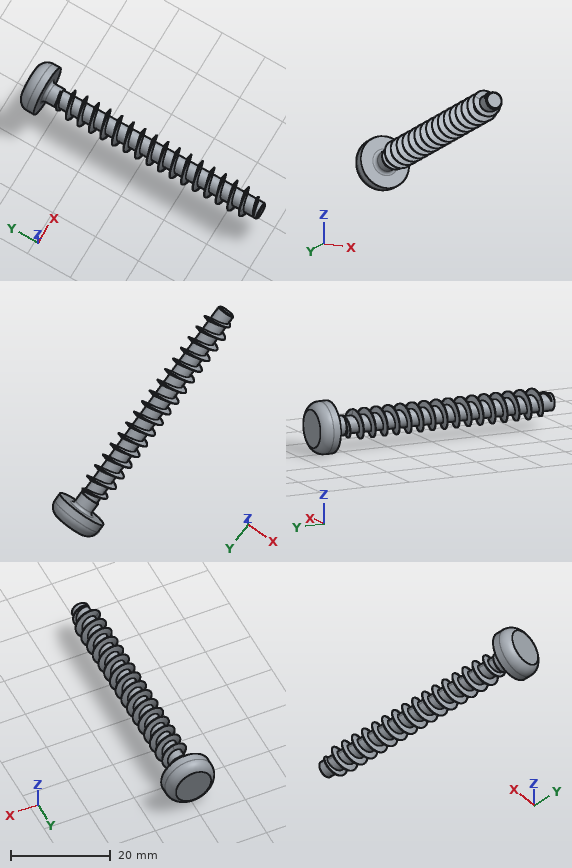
import cadquery as cq
import math

total_length = 53.8

head_radius = 10.8 / 2
head_height = 3.85
shoulder_height = 2.2
shoulder_arc_radius = 2.35

neck_radius = 4.15 / 2
neck_end = 6.8
neck_fillet = 0.7
core_radius = 3.6 / 2
tip_radius = 1.55
tip_chamfer_length = 0.2

thread_pitch = 2.7
thread_radius = 3.05
thread_root_radius = 1.6
thread_root_width = 0.85
thread_crest_width = 0.15
thread_phase = 8.7
thread_start = 6.45
thread_full_from = 9.35
thread_full_to = 50.2
thread_end = 53.15
start_crest_radius = 2.05
end_crest_radius = 1.7
points_per_turn = 16


def make_body():
    """Revolve the head, neck and core as one profile (radius, height)."""
    shoulder_center = head_radius - shoulder_arc_radius
    top_radius = shoulder_center + math.sqrt(shoulder_arc_radius**2 - shoulder_height**2)
    mid_angle = math.asin(shoulder_height / shoulder_arc_radius) / 2
    shoulder_mid = (
        shoulder_center + shoulder_arc_radius * math.cos(mid_angle),
        shoulder_height - shoulder_arc_radius * math.sin(mid_angle),
    )
    fillet_mid = neck_fillet * (1 - math.sqrt(0.5))
    profile = (
        cq.Workplane("XZ")
        .lineTo(top_radius, 0)
        .threePointArc(shoulder_mid, (head_radius, shoulder_height))
        .lineTo(head_radius, head_height)
        .lineTo(neck_radius + neck_fillet, head_height)
        .threePointArc(
            (neck_radius + fillet_mid, head_height + fillet_mid),
            (neck_radius, head_height + neck_fillet),
        )
        .lineTo(neck_radius, neck_end)
        .lineTo(core_radius, neck_end)
        .lineTo(core_radius, total_length - tip_chamfer_length)
        .lineTo(tip_radius, total_length)
        .lineTo(0, total_length)
        .close()
    )
    return profile.revolve(360, (0, 0, 0), (0, 1, 0)).val()


def helix_point(radius, center_height, offset):
    """Point on a helix line shifted axially from the ridge centre."""
    angle = 2 * math.pi * (center_height - thread_phase) / thread_pitch
    return cq.Vector(radius * math.cos(angle), radius * math.sin(angle), center_height + offset)


def ridge_edge(z_start, z_end, radius_start, radius_end, offset):
    """Helical edge whose radius changes evenly between two heights."""
    steps = math.ceil((z_end - z_start) / thread_pitch * points_per_turn)
    points = []
    for i in range(steps + 1):
        share = i / steps
        radius = radius_start + (radius_end - radius_start) * share
        points.append(helix_point(radius, z_start + (z_end - z_start) * share, offset))
    return cq.Edge.makeSpline(points)


def make_ridge(z_start, z_end, crest_start, crest_end):
    """Solid stretch of thread ridge bounded by four ruled helical faces."""
    half_root = thread_root_width / 2
    half_crest = thread_crest_width / 2
    corners = [
        (thread_root_radius, thread_root_radius, -half_root),
        (crest_start, crest_end, -half_crest),
        (crest_start, crest_end, half_crest),
        (thread_root_radius, thread_root_radius, half_root),
    ]
    edges = [ridge_edge(z_start, z_end, *corner) for corner in corners]
    faces = []
    for i, edge in enumerate(edges):
        faces.append(cq.Face.makeRuledSurface(edge, edges[(i + 1) % len(edges)]))
    for at_end in (False, True):
        ends = [edge.endPoint() if at_end else edge.startPoint() for edge in edges]
        faces.append(cq.Face.makeFromWires(cq.Wire.makePolygon(ends, close=True)))
    return cq.Solid.makeSolid(cq.Shell.makeShell(faces)).fix()


ridges = [
    make_ridge(thread_start, thread_full_from, start_crest_radius, thread_radius),
    make_ridge(thread_full_from, thread_full_to, thread_radius, thread_radius),
    make_ridge(thread_full_to, thread_end, thread_radius, end_crest_radius),
]
screw = make_body()
for ridge in ridges:
    screw = screw.fuse(ridge)

result = cq.Workplane("XY").newObject([screw]).rotate((0, 0, 0), (1, 0, 0), 90)